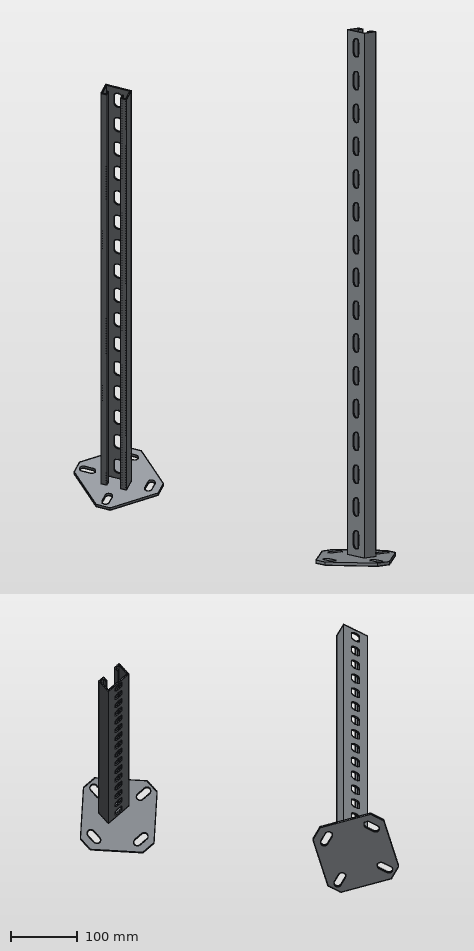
import cadquery as cq

PLATE_WIDTH = 134.5
PLATE_THICKNESS = 5.0
CORNER_FLAT = 22.5
ANCHOR_RADIUS = 50.0
ANCHOR_SLOT_LENGTH = 25.0
ANCHOR_SLOT_WIDTH = 11.0

TOTAL_HEIGHT = 805.0
STRUT_HEIGHT = TOTAL_HEIGHT - PLATE_THICKNESS
STRUT_WIDTH = 41.0
STRUT_DEPTH = 22.0
STRUT_BACK_Y = -0.4
WALL = 2.0
MOUTH_WIDTH = 22.0
LIP_DEPTH = 8.0

SLOT_COUNT = 16
SLOT_PITCH = STRUT_HEIGHT / SLOT_COUNT
SLOT_LENGTH = 28.0
SLOT_WIDTH = 14.0


def make_plate():
    """Octagonal base plate with its underside at Z = 0 and four anchor slots."""
    half_width = PLATE_WIDTH / 2
    half_flat = CORNER_FLAT / 2
    plate = (
        cq.Workplane("XY")
        .polyline([
            (half_width, -half_flat),
            (half_width, half_flat),
            (half_flat, half_width),
            (-half_flat, half_width),
            (-half_width, half_flat),
            (-half_width, -half_flat),
            (-half_flat, -half_width),
            (half_flat, -half_width),
        ])
        .close()
        .extrude(PLATE_THICKNESS)
    )
    anchor_slots = [
        (-ANCHOR_RADIUS, 0, 0),
        (0, -ANCHOR_RADIUS, 90),
        (ANCHOR_RADIUS, 0, 90),
        (0, ANCHOR_RADIUS, 0),
    ]
    for x, y, angle in anchor_slots:
        cutter = (
            cq.Workplane("XY")
            .center(x, y)
            .slot2D(ANCHOR_SLOT_LENGTH, ANCHOR_SLOT_WIDTH, angle)
            .extrude(PLATE_THICKNESS)
        )
        plate = plate.cut(cutter)
    return plate


def strut_block(width, back_y, front_y):
    """Full-height block centred on X, between two Y positions."""
    return (
        cq.Workplane("XY", origin=(0, (back_y + front_y) / 2, PLATE_THICKNESS))
        .rect(width, back_y - front_y)
        .extrude(STRUT_HEIGHT)
    )


def make_channel():
    """Channel whose two front flanges end in lips that turn back into it."""
    front_y = STRUT_BACK_Y - STRUT_DEPTH
    inner_back_y = STRUT_BACK_Y - WALL
    inner_front_y = front_y + WALL
    lip_end_y = front_y + LIP_DEPTH

    outside = strut_block(STRUT_WIDTH, STRUT_BACK_Y, front_y)
    cavity = strut_block(STRUT_WIDTH - 2 * WALL, inner_back_y, inner_front_y)
    lips = strut_block(MOUTH_WIDTH + 2 * WALL, lip_end_y, front_y)
    mouth = strut_block(MOUTH_WIDTH, lip_end_y, front_y)
    return outside.cut(cavity).union(lips).cut(mouth)


def make_slot_row():
    """Cutters for the evenly spaced upright slots in the back wall."""
    middle_z = PLATE_THICKNESS + STRUT_HEIGHT / 2
    return (
        cq.Workplane("XZ", origin=(0, STRUT_BACK_Y, middle_z))
        .rarray(8, SLOT_PITCH, 1, SLOT_COUNT)
        .slot2D(SLOT_LENGTH, SLOT_WIDTH, 90)
        .extrude(WALL)
    )


plate = make_plate()
strut = make_channel().cut(make_slot_row())

result = cq.Compound.makeCompound([plate.val(), strut.val()])